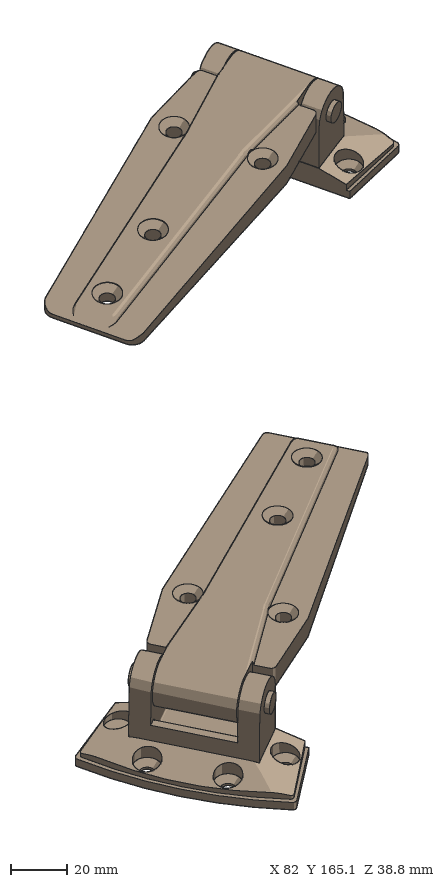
import cadquery as cq
import math


axis_z = 29.5
barrel_radius = 9.3
barrel_half_width = 15.6
pin_radius = 4.1
pin_half_length = 26.2

base_front_y = -9.6
base_back_y = 25.5
base_front_half = 36.6
base_corner_half = 41.2
base_corner_y = 20.4
base_corner_radius = 1.5
ledge_z = 3.5
ledge_width = 1.4
base_top_z = 9.4
slope_angle = 16.0
hip_radius = 16.0
slope_margin = 5.0

lug_inner = 16.1
lug_outer = 24.25
lug_front_y = -9.4
lug_back_y = 9.9
wall_thickness = 4.0
wall_top_z = 16.3
wall_round = 1.0
floor_z = 8.7
floor_round = 0.5

leaf_bottom_z = 28.1
leaf_back_y = base_front_y
leaf_knee_y = -39.6
leaf_tip_y = -139.6
leaf_slope = 0.048
wing_back_half = 23.8
wing_knee_half = 27.0
wing_tip_half = 19.3
wing_back_radius = 2.0
wing_tip_radius = 5.0
wing_top_z = 36.8
rib_top_z = axis_z + barrel_radius
rib_knee_y = -40.8
rib_back_half = 16.2
rib_knee_half = 12.3
rib_tip_half = 8.4
rib_edge_radius = 2.0
knee_blend = 3.8
tip_face_height = 1.8
wing_tip_round = 4.2
rib_tip_round = 5.0

base_screw_radius = 2.8
base_head_radius = 5.25
base_cone_top_z = ledge_z
base_holes = [(-31.0, 0.5), (31.0, 0.5), (-15.0, 17.5), (15.0, 17.5)]
leaf_screw_radius = 2.9
leaf_head_radius = 5.5
wing_holes = [(-17.7, -40.2), (17.7, -40.2)]
rib_holes = [(0, -90.5), (0, -125.6)]


def x_cylinder(radius, half_length):
    """Cylinder on the pin axis, centred on x = 0."""
    return (
        cq.Workplane("YZ", origin=(-half_length, 0, 0))
        .center(0, axis_z)
        .circle(radius)
        .extrude(2 * half_length)
    )


def screw_hole(place, bottom_z, cone_top_z, screw_radius, head_radius):
    """Cutter: through hole, 90 degree cone, then a clearance bore for the screw head."""
    cone_foot_z = cone_top_z - (head_radius - screw_radius)
    head_end_z = cone_top_z + 2 * head_radius
    profile = [
        (0, bottom_z),
        (screw_radius, bottom_z),
        (screw_radius, cone_foot_z),
        (head_radius, cone_top_z),
        (head_radius, head_end_z),
        (0, head_end_z),
    ]
    cutter = cq.Workplane("XZ").polyline(profile).close().revolve(360, (0, 0, 0), (0, 1, 0))
    return cutter.translate((place[0], place[1], 0))


def base_layer(inset, height):
    """Plate with slanted sides and a curved back, drawn in by inset except at the front."""
    front_half = base_front_half - inset
    corner_half = base_corner_half - inset
    corner_y = base_corner_y - inset
    return (
        cq.Workplane("XY")
        .moveTo(-front_half, base_front_y)
        .lineTo(front_half, base_front_y)
        .lineTo(corner_half, corner_y)
        .threePointArc((0, base_back_y - inset), (-corner_half, corner_y))
        .close()
        .extrude(height)
        .edges("|Z").edges(">Y")
        .fillet(base_corner_radius)
    )


def base_slopes():
    """Roof falling to both sides and to the back, with rounded hips and a flat top."""
    slope = math.tan(math.radians(slope_angle))
    reach_x = base_corner_half + slope_margin
    reach_y = base_back_y + slope_margin
    side_z = base_top_z - slope * (reach_x - lug_outer)
    back_z = base_top_z - slope * (reach_y - lug_back_y)
    ridge_z = base_top_z + slope * lug_outer
    front_z = base_top_z + slope * (lug_back_y - base_front_y)
    sides = (
        cq.Workplane("XZ", origin=(0, reach_y, 0))
        .polyline([(-reach_x, 0), (reach_x, 0), (reach_x, side_z), (0, ridge_z), (-reach_x, side_z)])
        .close()
        .extrude(reach_y - base_front_y)
    )
    back = (
        cq.Workplane("YZ", origin=(-reach_x, 0, 0))
        .polyline([(base_front_y, 0), (reach_y, 0), (reach_y, back_z), (base_front_y, front_z)])
        .close()
        .extrude(2 * reach_x)
    )
    hip_y = (base_front_y + reach_y) / 2
    hip_x = lug_outer + hip_y - lug_back_y
    hip_z = base_top_z - slope * (hip_y - lug_back_y)
    roof = sides.intersect(back)
    for side in (-1, 1):
        hip = cq.selectors.NearestToPointSelector((side * hip_x, hip_y, hip_z))
        roof = roof.edges(hip).fillet(hip_radius)
    flat_top = cq.Workplane("XY").box(2 * reach_x, 2 * reach_y, base_top_z, centered=(True, True, False))
    return roof.intersect(flat_top)


def lug_block():
    """Upright over the full width, with slightly tapered flanks and a round head about the pin axis."""
    return (
        cq.Workplane("YZ", origin=(-lug_outer, 0, 0))
        .moveTo(lug_front_y, ledge_z)
        .lineTo(lug_front_y, base_top_z)
        .lineTo(-barrel_radius, axis_z)
        .threePointArc((0, axis_z + barrel_radius), (barrel_radius, axis_z))
        .lineTo(lug_back_y, base_top_z)
        .lineTo(lug_back_y, ledge_z)
        .close()
        .extrude(2 * lug_outer)
    )


def lug_gap():
    """Cutter that parts the block into two lugs, leaving a low wall along the back."""
    wall_front_y = lug_back_y - wall_thickness
    head_z = axis_z + 2 * barrel_radius
    front_y = base_front_y - lug_back_y
    low = (
        cq.Workplane("XY", origin=(0, front_y, floor_z))
        .box(2 * lug_inner, wall_front_y - front_y, head_z - floor_z, centered=(True, False, False))
        .faces("<Z or >Y")
        .edges("not(<Y or >Z)")
        .fillet(floor_round)
    )
    high = cq.Workplane("XY", origin=(0, 0, wall_top_z)).box(
        2 * lug_inner, 2 * lug_back_y, head_z - wall_top_z, centered=(True, False, False)
    )
    wall_edge = cq.selectors.NearestToPointSelector((0, wall_front_y, wall_top_z))
    return low.union(high).edges(wall_edge).fillet(wall_round)


def make_base():
    upper = base_layer(ledge_width, base_top_z).intersect(base_slopes())
    body = base_layer(0, ledge_z).union(upper).union(lug_block()).cut(lug_gap())
    for place in base_holes:
        body = body.cut(screw_hole(place, 0, base_cone_top_z, base_screw_radius, base_head_radius))
    return body.cut(x_cylinder(pin_radius, pin_half_length))


def leaf_side_profile(back_y, knee_y, top_z, tip_round, half_width):
    """Side profile: level to the knee, then sloping down to a 45 degree tip with rounded bends."""
    tip_edge_z = leaf_bottom_z + tip_face_height
    run = knee_y - leaf_tip_y
    tip_run = (top_z - leaf_slope * run - tip_edge_z) / (1 - leaf_slope)
    bend_y = leaf_tip_y + tip_run
    bend_z = tip_edge_z + tip_run
    slab = (
        cq.Workplane("YZ", origin=(-half_width, 0, 0))
        .moveTo(leaf_tip_y, leaf_bottom_z)
        .lineTo(back_y, leaf_bottom_z)
        .lineTo(back_y, top_z)
        .lineTo(knee_y + knee_blend, top_z)
        .tangentArcPoint((knee_y - knee_blend, top_z - leaf_slope * knee_blend), relative=False)
        .lineTo(bend_y, bend_z)
        .lineTo(leaf_tip_y, tip_edge_z)
        .close()
        .extrude(2 * half_width)
    )
    return slab.edges(cq.selectors.NearestToPointSelector((0, bend_y, bend_z))).fillet(tip_round)


def leaf_outline(back_y, knee_y, back_half, knee_half, tip_half):
    """Mirror-symmetric plan shape with a corner at the knee."""
    right = [(back_half, back_y), (knee_half, knee_y), (tip_half, leaf_tip_y)]
    left = [(-x, y) for x, y in reversed(right)]
    return (
        cq.Workplane("XY", origin=(0, 0, leaf_bottom_z))
        .polyline(right + left)
        .close()
        .extrude(rib_top_z - leaf_bottom_z)
    )


def wings():
    plan = leaf_outline(leaf_back_y, leaf_knee_y, wing_back_half, wing_knee_half, wing_tip_half)
    plan = plan.edges("|Z").edges(">Y").fillet(wing_back_radius)
    plan = plan.edges("|Z").edges("<Y").fillet(wing_tip_radius)
    profile = leaf_side_profile(leaf_back_y, leaf_knee_y, wing_top_z, wing_tip_round, wing_knee_half)
    return plan.intersect(profile)


def rib():
    """Raised rib with rounded long edges, narrowed to the barrel width between the lugs."""
    flare = (rib_back_half - rib_knee_half) / (leaf_back_y - rib_knee_y)
    root_half = rib_back_half - flare * leaf_back_y
    plan = leaf_outline(0, rib_knee_y, root_half, rib_knee_half, rib_tip_half)
    body = plan.intersect(leaf_side_profile(0, rib_knee_y, rib_top_z, rib_tip_round, root_half))
    body = body.faces(">Z").edges("not |X").fillet(rib_edge_radius)
    for side in (-1, 1):
        clearance = (
            cq.Workplane("XY")
            .box(lug_outer, -leaf_back_y, 2 * axis_z, centered=(True, False, False))
            .translate((side * (barrel_half_width + lug_outer / 2), leaf_back_y, 0))
        )
        body = body.cut(clearance)
    return body


def make_leaf():
    body = wings().union(rib()).union(x_cylinder(barrel_radius, barrel_half_width))
    for place in wing_holes:
        body = body.cut(screw_hole(place, leaf_bottom_z, wing_top_z, leaf_screw_radius, leaf_head_radius))
    for place in rib_holes:
        surface_z = rib_top_z - leaf_slope * (rib_knee_y - place[1])
        body = body.cut(screw_hole(place, leaf_bottom_z, surface_z, leaf_screw_radius, leaf_head_radius))
    return body.cut(x_cylinder(pin_radius, pin_half_length))


base = make_base()
leaf = make_leaf()
pin = x_cylinder(pin_radius, pin_half_length)

result = cq.Compound.makeCompound([base.val(), leaf.val(), pin.val()])